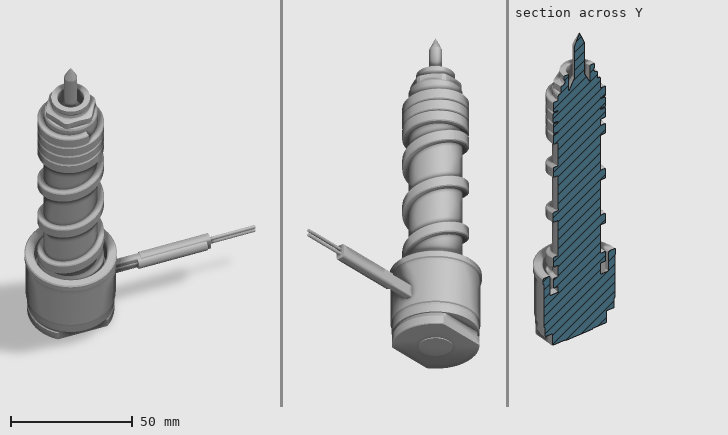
import cadquery as cq
import math

PLUG_RADIUS = 7.0
PLUG_HEIGHT = 0.35
FOOT_RADIUS = 17.95
FOOT_TOP = 4.3
FOOT_CHAMFER = 0.3
FOOT_FLAT_WIDTH = 28.2
FOOT_GROOVE_RADIUS = 17.2
SKIRT_RADIUS = 18.0
SKIRT_BOTTOM = 6.1
BODY_RADIUS = 18.5
BODY_BOTTOM = 10.6
BODY_TOP = 31.8
STEP_CHAMFER = 0.4
FLANGE_RADIUS = 19.0
FLANGE_TOP = 35.1
FLANGE_CHAMFER = 0.5

RECESS_RADIUS = 15.0
RECESS_CHAMFER = 0.6

TUBE_RADIUS = 11.1
TUBE_TOP = 122.3
TUBE_CHAMFER_RADIUS = 0.5
TUBE_CHAMFER_HEIGHT = 0.8
COLLAR_RADIUS = 8.0
COLLAR_TOP = 130.1
GROOVE_TOP = 128.1
GROOVE_BOTTOM = 126.0
GROOVE_DEPTH = 0.6

NUT_ACROSS_FLATS = 19.1
NUT_CORNER_RADIUS = 10.6
NUT_CONE_DROP = 0.8

BORE_RADIUS = 5.4
BORE_CHAMFER = 0.3
BORE_DEPTH = 8.0
BORE_FLOOR = COLLAR_TOP - BORE_DEPTH
SHOULDER_HEIGHT = 5.0
PIN_RADIUS = 2.65
PIN_SHOULDER = 142.5
PIN_CHAMFER = 0.8
POINT_RADIUS = 2.3
PIN_TIP = 148.2

BAND_INNER_RADIUS = 10.6
BAND_OUTER_RADIUS = 13.7
BAND_HEIGHT = 5.0
BAND_CHAMFER = 0.4
OPEN_PITCH = 22.0
CLOSED_PITCH = 5.25
OPEN_START_ANGLE = -40.0
OPEN_START_Z = 38.5
OPEN_TURN = 925.0
TRANSITION_TURN = 140.0
LOWER_CLOSED_TURN = 360.0
UPPER_CLOSED_TURN = 1148.0
POINT_STEP_ANGLE = 20.0

TRANSITION_RISE = (OPEN_PITCH + CLOSED_PITCH) / 2 * TRANSITION_TURN / 360
LOWER_CLOSED_RISE = CLOSED_PITCH * LOWER_CLOSED_TURN / 360
RECESS_FLOOR = OPEN_START_Z - TRANSITION_RISE - LOWER_CLOSED_RISE - BAND_HEIGHT / 2

CABLE_X = -1.5
CABLE_Z = 17.2
CABLE_WIDTH = 3.2
CABLE_HEIGHT = 5.6
CABLE_FILLET = 0.6
SLEEVE_START = 30.7
SLEEVE_END = 61.1
SLEEVE_WIDTH = 4.2
SLEEVE_HEIGHT = 6.3
SLEEVE_FILLET = 1.1
WIRE_RADIUS = 0.7
WIRE_OFFSET = 1.05
WIRE_END = 81.0

LEAD_X = -0.2
ROUND_SLEEVE_RADIUS = 2.6
ROUND_SLEEVE_START = 29.1
ROUND_SLEEVE_END = 59.1


def revolve_profile(points):
    """Solid of revolution about Z from (radius, z) points."""
    return cq.Workplane("XZ").polyline(points).close().revolve(360, (0, 0), (0, 1))


def make_base():
    lower_body_z = BODY_BOTTOM + STEP_CHAMFER
    upper_flange_z = FLANGE_TOP - FLANGE_CHAMFER
    body = revolve_profile([
        (0, SKIRT_BOTTOM),
        (SKIRT_RADIUS, SKIRT_BOTTOM),
        (SKIRT_RADIUS, BODY_BOTTOM),
        (BODY_RADIUS, lower_body_z),
        (BODY_RADIUS, BODY_TOP),
        (FLANGE_RADIUS, BODY_TOP + STEP_CHAMFER),
        (FLANGE_RADIUS, upper_flange_z),
        (FLANGE_RADIUS - FLANGE_CHAMFER, FLANGE_TOP),
        (RECESS_RADIUS + RECESS_CHAMFER, FLANGE_TOP),
        (RECESS_RADIUS, FLANGE_TOP - RECESS_CHAMFER),
        (RECESS_RADIUS, RECESS_FLOOR),
        (0, RECESS_FLOOR),
    ])
    return body.union(make_foot())


def make_foot():
    """Grooved foot with two flats facing +X and -X, and a thin plug under it."""
    foot = revolve_profile([
        (0, PLUG_HEIGHT),
        (FOOT_RADIUS - FOOT_CHAMFER, PLUG_HEIGHT),
        (FOOT_RADIUS, PLUG_HEIGHT + FOOT_CHAMFER),
        (FOOT_RADIUS, FOOT_TOP),
        (FOOT_GROOVE_RADIUS, FOOT_TOP),
        (FOOT_GROOVE_RADIUS, SKIRT_BOTTOM),
        (0, SKIRT_BOTTOM),
    ])
    slab = cq.Workplane("XY").box(
        FOOT_FLAT_WIDTH, 2 * FOOT_RADIUS, SKIRT_BOTTOM, centered=(True, True, False)
    )
    plug = cq.Workplane("XY").circle(PLUG_RADIUS).extrude(PLUG_HEIGHT)
    return foot.intersect(slab).union(plug)


def make_tube():
    """Tube and collar, with a V groove between the collar and the nut."""
    return revolve_profile([
        (0, RECESS_FLOOR),
        (TUBE_RADIUS, RECESS_FLOOR),
        (TUBE_RADIUS, TUBE_TOP - TUBE_CHAMFER_HEIGHT),
        (TUBE_RADIUS - TUBE_CHAMFER_RADIUS, TUBE_TOP),
        (COLLAR_RADIUS, TUBE_TOP),
        (COLLAR_RADIUS, GROOVE_BOTTOM),
        (COLLAR_RADIUS - GROOVE_DEPTH, (GROOVE_BOTTOM + GROOVE_TOP) / 2),
        (COLLAR_RADIUS, GROOVE_TOP),
        (COLLAR_RADIUS, COLLAR_TOP),
        (BORE_RADIUS + BORE_CHAMFER, COLLAR_TOP),
        (BORE_RADIUS, COLLAR_TOP - BORE_CHAMFER),
        (BORE_RADIUS, BORE_FLOOR),
        (0, BORE_FLOOR),
    ])


def make_nut():
    height = GROOVE_BOTTOM - TUBE_TOP
    bore_radius = COLLAR_RADIUS - GROOVE_DEPTH
    across_corners = NUT_ACROSS_FLATS / math.cos(math.pi / 6)
    hexagon = (
        cq.Workplane("XY").workplane(offset=TUBE_TOP)
        .transformed(rotate=(0, 0, 90))
        .polygon(6, across_corners).extrude(height)
    )
    turned_blank = revolve_profile([
        (bore_radius, TUBE_TOP),
        (NUT_CORNER_RADIUS, TUBE_TOP),
        (NUT_CORNER_RADIUS, GROOVE_BOTTOM - NUT_CONE_DROP),
        (COLLAR_RADIUS, GROOVE_BOTTOM),
        (bore_radius, GROOVE_BOTTOM),
    ])
    return hexagon.intersect(turned_blank)


def make_pin():
    """Pointed pin rising from a conical shoulder at the bottom of the bore."""
    return revolve_profile([
        (0, BORE_FLOOR),
        (BORE_RADIUS, BORE_FLOOR),
        (PIN_RADIUS, BORE_FLOOR + SHOULDER_HEIGHT),
        (PIN_RADIUS, PIN_SHOULDER),
        (POINT_RADIUS, PIN_SHOULDER + PIN_CHAMFER),
        (0, PIN_TIP),
    ])


def make_band(start_angle, turn, start_z, start_pitch, end_pitch):
    """Stretch of spring band, its outer edges chamfered, whose pitch changes evenly along its turning."""
    point_count = math.ceil(turn / POINT_STEP_ANGLE) + 1

    def band_curve(radius, z_offset):
        points = []
        for index in range(point_count):
            fraction = index / (point_count - 1)
            angle = math.radians(start_angle + turn * fraction)
            pitch_so_far = start_pitch + (end_pitch - start_pitch) * fraction / 2
            z = start_z + pitch_so_far * turn * fraction / 360 + z_offset
            points.append(cq.Vector(radius * math.cos(angle), radius * math.sin(angle), z))
        return cq.Edge.makeSpline(points)

    half_height = BAND_HEIGHT / 2
    chamfer_radius = BAND_OUTER_RADIUS - BAND_CHAMFER
    chamfer_height = half_height - BAND_CHAMFER
    corners = [
        band_curve(BAND_INNER_RADIUS, -half_height),
        band_curve(chamfer_radius, -half_height),
        band_curve(BAND_OUTER_RADIUS, -chamfer_height),
        band_curve(BAND_OUTER_RADIUS, chamfer_height),
        band_curve(chamfer_radius, half_height),
        band_curve(BAND_INNER_RADIUS, half_height),
    ]
    faces = []
    for index, curve in enumerate(corners):
        faces.append(cq.Face.makeRuledSurface(curve, corners[(index + 1) % len(corners)]))
    for position in (0, 1):
        ends = [curve.positionAt(position) for curve in corners]
        faces.append(cq.Face.makeFromWires(cq.Wire.makePolygon(ends, close=True)))
    return cq.Workplane(cq.Solid.makeSolid(cq.Shell.makeShell(faces)))


def make_spring():
    """The five stretches of the spring, from bottom to top."""
    stretches = [
        (LOWER_CLOSED_TURN, CLOSED_PITCH, CLOSED_PITCH),
        (TRANSITION_TURN, CLOSED_PITCH, OPEN_PITCH),
        (OPEN_TURN, OPEN_PITCH, OPEN_PITCH),
        (TRANSITION_TURN, OPEN_PITCH, CLOSED_PITCH),
        (UPPER_CLOSED_TURN, CLOSED_PITCH, CLOSED_PITCH),
    ]
    angle = OPEN_START_ANGLE - TRANSITION_TURN - LOWER_CLOSED_TURN
    z = OPEN_START_Z - TRANSITION_RISE - LOWER_CLOSED_RISE
    bands = []
    for turn, start_pitch, end_pitch in stretches:
        bands.append(make_band(angle, turn, z, start_pitch, end_pitch))
        angle += turn
        z += (start_pitch + end_pitch) / 2 * turn / 360
    return bands


def rounded_bar(width, height, fillet, start_y, end_y):
    """Bar along Y, centred on the cable, with its long edges rounded."""
    return (
        cq.Workplane("XY").box(width, end_y - start_y, height)
        .edges("|Y").fillet(fillet)
        .translate((CABLE_X, (start_y + end_y) / 2, CABLE_Z))
    )


def rod(x, z, radius, start_y, end_y):
    """Round rod along Y."""
    return (
        cq.Workplane("XZ", origin=(x, start_y, z))
        .circle(radius).extrude(start_y - end_y)
    )


def make_cable():
    entry_y = (RECESS_RADIUS + BODY_RADIUS) / 2
    cable = rounded_bar(CABLE_WIDTH, CABLE_HEIGHT, CABLE_FILLET, entry_y, SLEEVE_START)
    cable = cable.union(rounded_bar(SLEEVE_WIDTH, SLEEVE_HEIGHT, SLEEVE_FILLET, SLEEVE_START, SLEEVE_END))
    for side in (-1, 1):
        wire_z = CABLE_Z + side * WIRE_OFFSET
        cable = cable.union(rod(CABLE_X, wire_z, WIRE_RADIUS, SLEEVE_END, WIRE_END))
    cable = cable.union(rod(LEAD_X, CABLE_Z, WIRE_RADIUS, entry_y, ROUND_SLEEVE_START))
    round_sleeve = rod(LEAD_X, CABLE_Z, ROUND_SLEEVE_RADIUS, ROUND_SLEEVE_START, ROUND_SLEEVE_END)
    return cable.union(round_sleeve)


result = make_base().union(make_tube()).union(make_nut()).union(make_pin())
for band in make_spring():
    result = result.union(band)
result = result.union(make_cable())